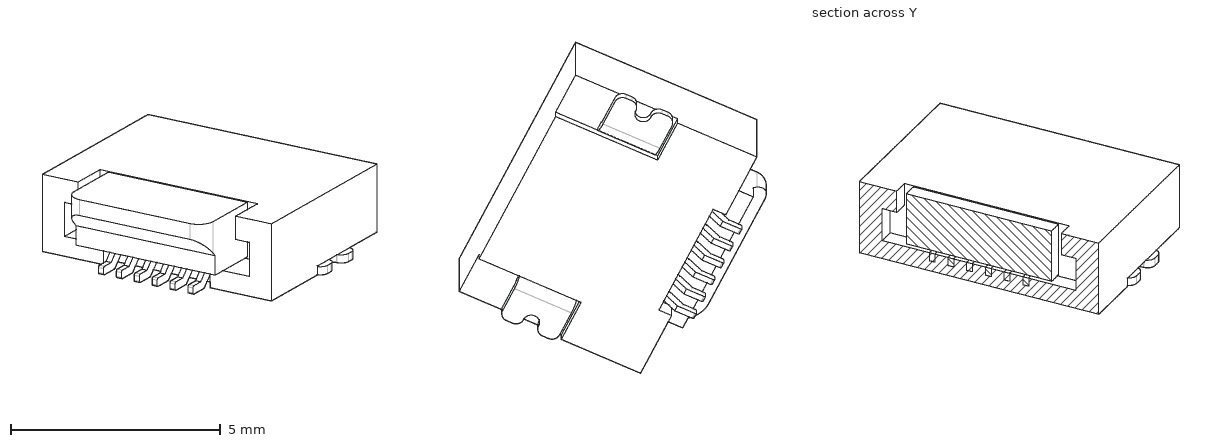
import cadquery as cq
import math


total_width = 6.6
total_height = 2.01
housing_width = 6.42
housing_depth = 4.8
standoff = 0.045

slot_depth = 0.995
slot_floor = 0.555
slot_step = 1.42
slot_lower_width = 5.18
slot_upper_width = 4.415

slider_width = 3.895
slider_bottom = 0.62
slider_gap = 0.045
slider_reach = 1.0
slider_corner_radius = 0.4
lip_bottom = 1.61
lip_bevel = 0.495

contact_count = 6
contact_pitch = 0.5
contact_width = 0.145
contact_thickness = 0.22
contact_tip_radius = 0.045
contact_reach = slider_reach - lip_bevel
contact_bend = 0.16
contact_embed = 0.395
contact_recess_width = 2.99
contact_recess_depth = slot_floor - contact_thickness

tab_thickness = 0.21
tab_corner_radius = 0.2
tab_flat = 0.16
tab_lobe_width = tab_flat + 2 * tab_corner_radius
tab_valley_radius = 0.2
tab_valley_depth = 0.41
tab_length = 2 * tab_lobe_width + 2 * tab_valley_radius
tab_back_offset = 1.095
tab_flat_reach = 0.86
tab_bend_radius = 0.33
tab_leg_top = 0.53
tab_back = housing_depth - tab_back_offset
tab_front = tab_back - tab_length

side_recess_length = 2.7
side_recess_top = 0.28
side_recess_inner = total_width / 2 - tab_flat_reach - tab_bend_radius


def block(x_min, x_max, y_min, y_max, z_min, z_max):
    """Axis-aligned box given by its limits."""
    size = (x_max - x_min, y_max - y_min, z_max - z_min)
    return cq.Workplane("XY").box(*size, centered=False).translate((x_min, y_min, z_min))


def centred_block(width, y_min, y_max, z_min, z_max):
    """Box centred on the mid plane."""
    return block(-width / 2, width / 2, y_min, y_max, z_min, z_max)


def make_slider():
    """Flat bar with rounded front corners and a bevel under its front lip."""
    front = -slider_reach
    bar = centred_block(slider_width, front, slot_depth - slider_gap, slider_bottom, total_height)
    bar = bar.edges("|Z and <Y").fillet(slider_corner_radius)
    under_lip = (
        cq.Workplane("YZ")
        .moveTo(front, slider_bottom)
        .lineTo(front, lip_bottom)
        .lineTo(front + lip_bevel, lip_bottom - lip_bevel)
        .lineTo(front + lip_bevel, slider_bottom)
        .close()
        .extrude(slider_width / 2, both=True)
    )
    return bar.cut(under_lip)


def make_contact(x_centre):
    """Flat foot, 45 degree slope up to the slot floor and a raised root behind the slot."""
    slope_end = slot_floor - contact_thickness - contact_bend
    root_end = slot_depth + contact_embed
    return (
        cq.Workplane("YZ")
        .moveTo(-contact_reach, 0)
        .lineTo(0, 0)
        .lineTo(contact_recess_depth, slot_floor - contact_thickness)
        .lineTo(root_end, slot_floor - contact_thickness)
        .lineTo(root_end, slider_bottom)
        .lineTo(slot_depth, slider_bottom)
        .lineTo(slot_depth, slot_floor)
        .lineTo(slope_end, slot_floor)
        .lineTo(-contact_bend, contact_thickness)
        .lineTo(-contact_reach, contact_thickness)
        .close()
        .extrude(contact_width / 2, both=True)
        .edges("|X and <Y")
        .fillet(contact_tip_radius)
        .translate((x_centre, 0, 0))
    )


def make_right_tab():
    """Solder tab with two rounded lobes outside and a leg bent up into the housing."""
    tip = total_width / 2
    bend_start = tip - tab_flat_reach
    leg_inner = bend_start - tab_bend_radius
    inner_radius = tab_bend_radius - tab_thickness
    diagonal = math.sqrt(0.5)

    bent_strip = (
        cq.Workplane("XZ", origin=(0, tab_back, 0))
        .moveTo(tip, 0)
        .lineTo(bend_start, 0)
        .threePointArc(
            (bend_start - tab_bend_radius * diagonal, tab_bend_radius * (1 - diagonal)),
            (leg_inner, tab_bend_radius),
        )
        .lineTo(leg_inner, tab_leg_top)
        .lineTo(leg_inner + tab_thickness, tab_leg_top)
        .lineTo(leg_inner + tab_thickness, tab_bend_radius)
        .threePointArc(
            (bend_start - inner_radius * diagonal, tab_bend_radius - inner_radius * diagonal),
            (bend_start, tab_thickness),
        )
        .lineTo(tip, tab_thickness)
        .close()
        .extrude(tab_length)
    )
    valley_y = (tab_front + tab_back) / 2
    valley_centre_x = tip - tab_valley_depth + tab_valley_radius
    valley = (
        cq.Workplane("XY")
        .moveTo(tip, valley_y - tab_valley_radius)
        .lineTo(valley_centre_x, valley_y - tab_valley_radius)
        .threePointArc(
            (valley_centre_x - tab_valley_radius, valley_y),
            (valley_centre_x, valley_y + tab_valley_radius),
        )
        .lineTo(tip, valley_y + tab_valley_radius)
        .close()
        .extrude(tab_thickness)
    )
    return bent_strip.cut(valley).edges("|Z and >X").fillet(tab_corner_radius)


def make_housing(embedded_bodies):
    """Block with the slider slot and recesses, fitted around the contacts and tabs."""
    body = centred_block(housing_width, 0, housing_depth, standoff, total_height)
    body = body.cut(centred_block(slot_lower_width, 0, slot_depth, slot_floor, slot_step))
    body = body.cut(centred_block(slot_upper_width, 0, slot_depth, slot_step, total_height))
    body = body.cut(
        centred_block(contact_recess_width, 0, contact_recess_depth, standoff, slot_floor)
    )
    side_recess = block(
        side_recess_inner,
        housing_width / 2,
        housing_depth - side_recess_length,
        housing_depth,
        standoff,
        side_recess_top,
    )
    body = body.cut(side_recess).cut(side_recess.mirror("YZ"))
    for embedded in embedded_bodies:
        body = body.cut(embedded)
    return body


slider = make_slider()

contacts = []
for index in range(contact_count):
    contacts.append(make_contact((index - (contact_count - 1) / 2) * contact_pitch))

right_tab = make_right_tab()
left_tab = right_tab.mirror("YZ")
tabs = [right_tab, left_tab]

housing = make_housing(contacts + tabs)

result = cq.Compound.makeCompound(
    [
        housing.solids().val(),
        slider.solids().val(),
        *[contact.solids().val() for contact in contacts],
        *[tab.solids().val() for tab in tabs],
    ]
)